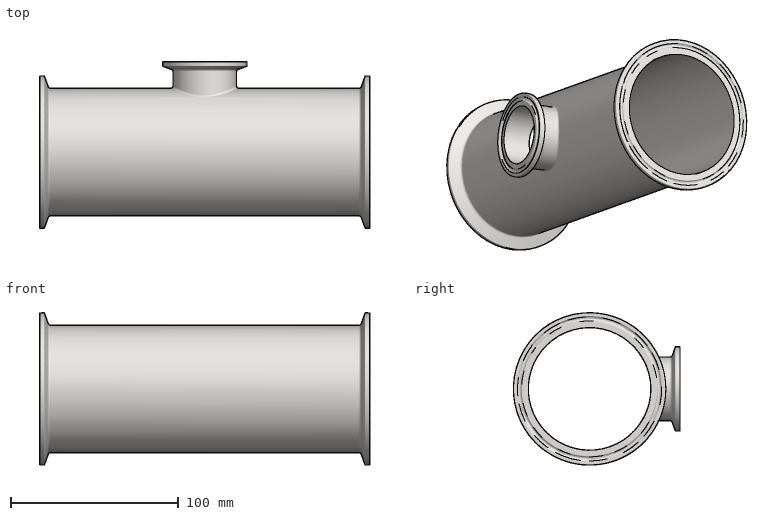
import cadquery as cq
import math


run_length = 196.85
run_tube_diameter = 76.2
run_bore_diameter = 72.9
run_flange_diameter = 90.91
run_groove_diameter = 83.5

branch_face_y = 53.975
branch_tube_diameter = 38.1
branch_bore_diameter = 34.8
branch_flange_diameter = 50.39
branch_groove_diameter = 43.6
branch_root_fillet = 1.3

rim_thickness = 2.85
rim_rounding = 0.5
taper_angle = 20.0
neck_fillet = 1.2

groove_width = 2.6
groove_depth = 1.1
groove_lip_rounding = 0.4


def gasket_groove(groove_diameter):
    """Torus that cuts the arc-shaped gasket groove into a clamp face at Z = 0."""
    groove_radius = groove_diameter / 2
    arc_radius = ((groove_width / 2) ** 2 + groove_depth**2) / (2 * groove_depth)
    arc_centre_z = groove_depth - arc_radius
    section = cq.Workplane("XZ").center(groove_radius, arc_centre_z).circle(arc_radius)
    return section.revolve(360, (-groove_radius, 0, 0), (-groove_radius, 1, 0))


def flanged_end(length, tube_diameter, flange_diameter, groove_diameter):
    """Solid tube end running along +Z, with its grooved clamp face at Z = 0."""
    tube_radius = tube_diameter / 2
    flange_radius = flange_diameter / 2
    taper_height = (flange_radius - tube_radius) * math.tan(math.radians(taper_angle))

    end = (
        cq.Workplane("XZ")
        .lineTo(flange_radius, 0)
        .lineTo(flange_radius, rim_thickness)
        .lineTo(tube_radius, rim_thickness + taper_height)
        .lineTo(tube_radius, length)
        .lineTo(0, length)
        .close()
        .revolve(360, (0, 0, 0), (0, 1, 0))
    )

    smallest_circles = cq.selectors.RadiusNthSelector(0)
    second_circles = cq.selectors.RadiusNthSelector(1)
    largest_circles = cq.selectors.RadiusNthSelector(-1)

    end = end.edges(smallest_circles).edges("<Z").fillet(neck_fillet)
    end = end.edges(largest_circles).fillet(rim_rounding)
    end = end.cut(gasket_groove(groove_diameter))

    return end.faces("<Z").edges(smallest_circles + second_circles).fillet(groove_lip_rounding)


def run_body():
    """Solid run: two flanged ends that meet at X = 0."""
    half_length = run_length / 2
    end = flanged_end(half_length, run_tube_diameter, run_flange_diameter, run_groove_diameter)
    left_half = end.rotate((0, 0, 0), (0, 1, 0), 90).translate((-half_length, 0, 0))
    return left_half.union(left_half.mirror("YZ"))


def branch_body():
    """Solid branch from its clamp face down to the run axis."""
    end = flanged_end(
        branch_face_y, branch_tube_diameter, branch_flange_diameter, branch_groove_diameter
    )
    return end.rotate((0, 0, 0), (1, 0, 0), 90).translate((0, branch_face_y, 0))


def fillet_branch_root(body):
    """Round the saddle curve where the branch tube meets the run tube."""
    run_radius = run_tube_diameter / 2
    branch_radius = branch_tube_diameter / 2
    saddle_low_y = math.sqrt(run_radius**2 - branch_radius**2)
    margin = 1.0
    reach = branch_radius + margin
    saddle_zone = cq.selectors.BoxSelector(
        (-reach, saddle_low_y - margin, -reach),
        (reach, run_radius + margin, reach),
        boundingbox=True,
    )
    return body.edges(saddle_zone).fillet(branch_root_fillet)


def cut_bores(body):
    """Open the run from end to end and the branch from its face into the run."""
    run_bore = cq.Workplane("YZ").circle(run_bore_diameter / 2).extrude(run_length / 2, both=True)
    branch_bore = cq.Workplane("XZ").circle(branch_bore_diameter / 2).extrude(-branch_face_y)
    return body.cut(run_bore).cut(branch_bore)


tee = run_body().union(branch_body())
tee = fillet_branch_root(tee)
result = cut_bores(tee)